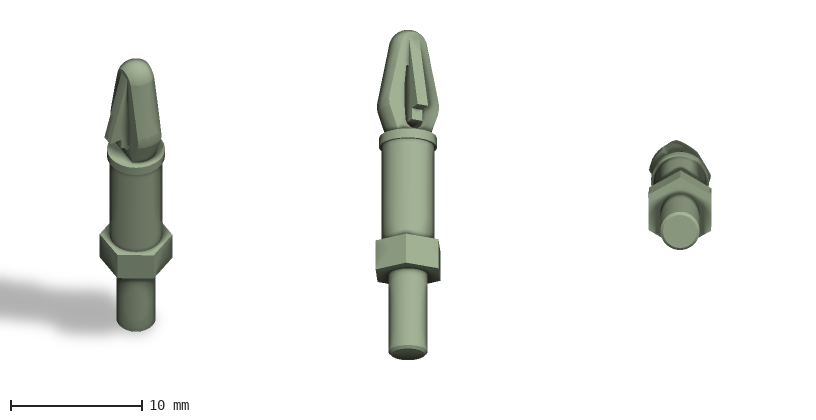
import cadquery as cq
import math

hex_bottom = 6.42
hex_top = 8.78
collar_bottom = 16.77
collar_top = 17.5
widest_bottom = 19.55
widest_top = 20.52
dome_bottom = 25.15
total_height = 26.2

pin_diameter = 3.0
pin_chamfer = 0.2
hex_across_corners = 5.53
body_diameter = 4.0
collar_diameter = 4.4

neck_radius = 1.63
widest_radius = 2.35
shoulder_radius = 2.3
dome_base_radius = 1.42
blade_thickness = 2.05
blade_front = -blade_thickness / 2
blade_back = blade_thickness / 2

window_bottom = 18.0
window_arc_top = 18.65
window_middle = 20.45
window_top = 23.0
window_lower_half_width = 0.73
window_middle_half_width = 0.85
window_upper_half_width = 0.65
window_corner_radius = 0.13

finger_width = 0.9
finger_bottom = 18.5
barb_bottom = 19.4
barb_top = 25.32
finger_step_y = -1.52
overall_depth = 4.9
hex_across_flats = hex_across_corners * math.cos(math.pi / 6)
barb_tip_y = hex_across_flats / 2 - overall_depth


def cylinder(diameter, bottom, top):
    return cq.Workplane("XY").workplane(offset=bottom).circle(diameter / 2).extrude(top - bottom)


def make_post():
    pin = cylinder(pin_diameter, 0, hex_bottom).faces("<Z").chamfer(pin_chamfer)
    hexagon = (
        cq.Workplane("XY")
        .workplane(offset=hex_bottom)
        .polygon(6, hex_across_corners)
        .extrude(hex_top - hex_bottom)
    )
    body = cylinder(body_diameter, hex_top, collar_bottom)
    collar = cylinder(collar_diameter, collar_bottom, collar_top)
    return pin.union(hexagon).union(body).union(collar)


def make_blade():
    dome_height = total_height - dome_bottom
    dome_radius = (dome_base_radius**2 + dome_height**2) / (2 * dome_height)
    dome_center = total_height - dome_radius
    half_angle = math.asin(dome_base_radius / dome_radius) / 2
    dome_middle = (
        dome_radius * math.sin(half_angle),
        dome_center + dome_radius * math.cos(half_angle),
    )
    widest_middle = (widest_bottom + widest_top) / 2
    turned = (
        cq.Workplane("XZ")
        .moveTo(0, collar_top)
        .lineTo(neck_radius, collar_top)
        .lineTo(shoulder_radius, widest_bottom)
        .threePointArc((widest_radius, widest_middle), (shoulder_radius, widest_top))
        .lineTo(dome_base_radius, dome_bottom)
        .threePointArc(dome_middle, (0, total_height))
        .close()
        .revolve(360, (0, 0, 0), (0, 1, 0))
    )
    slab = (
        cq.Workplane("XY")
        .workplane(offset=collar_top)
        .rect(2 * widest_radius, blade_thickness)
        .extrude(total_height - collar_top)
    )
    return turned.intersect(slab)


def make_window():
    return (
        cq.Workplane("XZ")
        .moveTo(-window_lower_half_width, window_arc_top)
        .threePointArc((0, window_bottom), (window_lower_half_width, window_arc_top))
        .threePointArc(
            (window_middle_half_width, window_middle),
            (window_upper_half_width, window_top),
        )
        .lineTo(-window_upper_half_width, window_top)
        .threePointArc(
            (-window_middle_half_width, window_middle),
            (-window_lower_half_width, window_arc_top),
        )
        .close()
        .extrude(blade_thickness / 2, both=True)
        .edges("|Y and >Z")
        .fillet(window_corner_radius)
    )


def make_finger():
    return (
        cq.Workplane("YZ")
        .moveTo(blade_back, finger_bottom)
        .lineTo(finger_step_y, finger_bottom)
        .lineTo(finger_step_y, barb_bottom)
        .lineTo(barb_tip_y, barb_bottom)
        .lineTo(blade_front, barb_top)
        .lineTo(blade_back, window_top)
        .close()
        .extrude(finger_width / 2, both=True)
    )


head = make_blade().cut(make_window()).union(make_finger())
result = make_post().union(head)